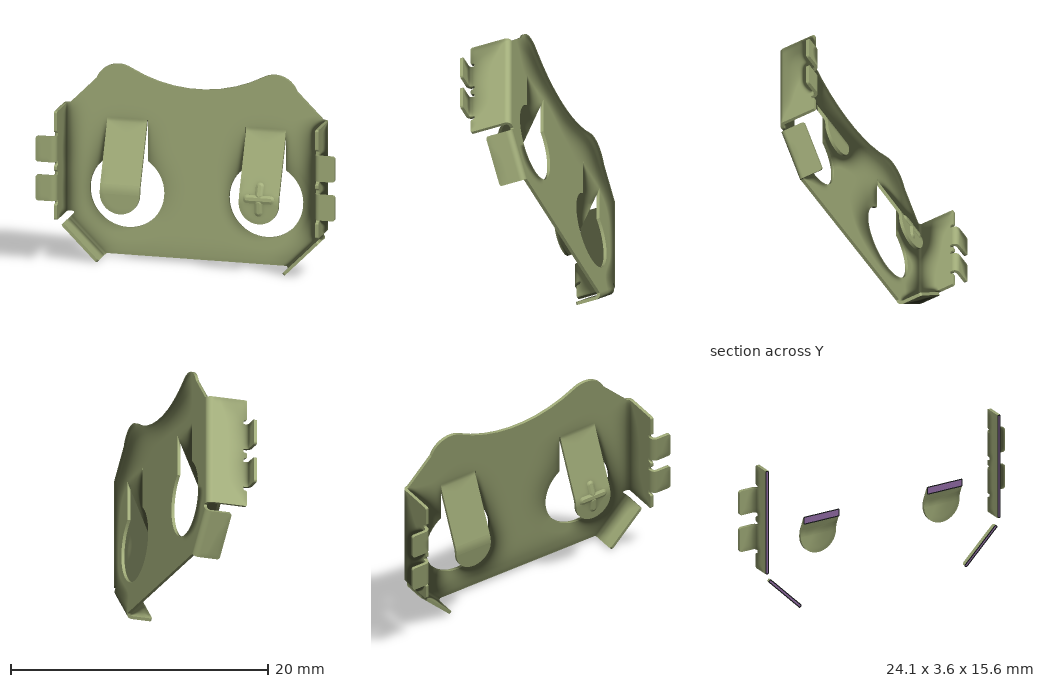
import cadquery as cq
import math


thickness = 0.25
bend_inner_radius = 0.2
bend_radius = bend_inner_radius + thickness

overall_width = 24.1
overall_depth = 3.6
plate_top = 15.26
root_overlap = 0.1

wall_half_width = 10.65
wall_bottom = 3.2
wall_top = 11.92
wall_depth = 3.29
wall_bend_x = wall_half_width - bend_radius
wall_corner_radius = 0.15

foot_width = 2.05
foot_centres = (5.8, 8.92)
foot_corner_radius = 0.2
relief_width = 0.3
relief_depth = 2.98
relief_radius = 0.14

stop_length = 4.0
stop_depth = 2.13
stop_corner_radius = 0.2
stop_start_x = 7.25
stop_angle = 45
stop_run = stop_length * math.cos(math.radians(stop_angle))
corner_relief_x = 9.87

lobe_x = 6.29
lobe_radius = 1.92
cutout_bottom = 13.64

tongue_x = 5.6
tongue_width = 3.2
tongue_top = 10.94
tongue_depth = 2.45
tongue_angle = math.radians(23.6)
tongue_root_radius = 0.6
tongue_knee_radius = 1.86
tongue_side_gap = 0.08
window_radius = 3.0
window_z = 5.15

plus_bar_width = 0.66
plus_length_x = 2.55
plus_length_z = 2.7
plus_height = 0.12
plus_slope_width = 0.2
plus_sink = 0.06

sin_a = math.sin(tongue_angle)
cos_a = math.cos(tongue_angle)
bend_radii = tongue_root_radius + tongue_knee_radius
slope_length = (tongue_depth - thickness - bend_radii * (1 - cos_a)) / sin_a
tip_z = tongue_top - bend_radii * sin_a - slope_length * cos_a
tip_radius = tongue_width / 2


def box(x_range, y_range, z_range):
    """Axis-aligned box from three (low, high) ranges."""
    (x0, x1), (y0, y1), (z0, z1) = x_range, y_range, z_range
    return cq.Workplane("XY").box(x1 - x0, y1 - y0, z1 - z0, centered=False).translate((x0, y0, z0))


def polar_point(centre, radius, angle):
    return (centre[0] + radius * math.cos(angle), centre[1] + radius * math.sin(angle))


def plate_half():
    """Flat plate on the -X side, before its window is cut."""
    lobe_z = plate_top - lobe_radius
    drop = lobe_z - cutout_bottom
    cutout_radius = (lobe_x**2 + drop**2 - lobe_radius**2) / (2 * (lobe_radius + drop))
    cutout_z = cutout_bottom + cutout_radius
    tangent_angle = math.atan2(cutout_z - lobe_z, lobe_x)
    tangent = polar_point((-lobe_x, lobe_z), lobe_radius, tangent_angle)
    cutout_middle_angle = (tangent_angle - math.pi - math.pi / 2) / 2
    cutout_middle = polar_point((0, cutout_z), cutout_radius, cutout_middle_angle)
    line_offset = wall_top + wall_bend_x - lobe_x - lobe_z
    shoulder_dx = -(line_offset + math.sqrt(2 * lobe_radius**2 - line_offset**2)) / 2
    shoulder = (-lobe_x + shoulder_dx, lobe_z + shoulder_dx + line_offset)

    stop_end = (-stop_start_x - stop_run, stop_run)
    relief_corner = (-corner_relief_x, stop_end[1] - corner_relief_x - stop_end[0])
    return (
        cq.Workplane("XZ")
        .moveTo(0, 0)
        .lineTo(-stop_start_x, 0)
        .lineTo(*stop_end)
        .lineTo(*relief_corner)
        .lineTo(-corner_relief_x, wall_bottom)
        .lineTo(-wall_bend_x, wall_bottom)
        .lineTo(-wall_bend_x, wall_top)
        .lineTo(*shoulder)
        .threePointArc((-lobe_x, plate_top), tangent)
        .threePointArc(cutout_middle, (0, cutout_bottom))
        .close()
        .extrude(thickness)
    )


def window():
    """Round hole plus the slot left by the -X tongue."""
    hole = (
        cq.Workplane("XZ")
        .center(-tongue_x, window_z)
        .circle(window_radius)
        .extrude(thickness)
    )
    left = -tongue_x - tongue_width / 2
    right = -tongue_x + tongue_width / 2 + tongue_side_gap
    slot = box((left, right), (-thickness, 0), (window_z, tongue_top))
    return hole.union(slot)


def bent_wall(length, depth):
    """Wall folded toward -Y along the Z axis, standing on the -X side of it."""
    outer_x = -bend_radius
    inner_x = outer_x + thickness
    middle = math.radians(135)
    bend_centre = (0, -bend_radius)
    return (
        cq.Workplane("XY")
        .moveTo(0, 0)
        .threePointArc(polar_point(bend_centre, bend_radius, middle), (outer_x, -bend_radius))
        .lineTo(outer_x, -depth)
        .lineTo(inner_x, -depth)
        .lineTo(inner_x, -bend_radius)
        .threePointArc(polar_point(bend_centre, bend_inner_radius, middle), (0, -thickness))
        .close()
        .extrude(length)
    )


def foot(centre_z):
    """Solder foot bent outward from the -X wall."""
    outer_x = -wall_half_width
    inner_x = outer_x + thickness
    tip_x = -overall_width / 2
    bend_centre = (outer_x - bend_inner_radius, -overall_depth + bend_radius)
    middle = math.radians(-45)
    profile = (
        cq.Workplane("XY")
        .moveTo(outer_x, -relief_depth)
        .lineTo(outer_x, bend_centre[1])
        .threePointArc(
            polar_point(bend_centre, bend_inner_radius, middle),
            (bend_centre[0], -overall_depth + thickness),
        )
        .lineTo(tip_x, -overall_depth + thickness)
        .lineTo(tip_x, -overall_depth)
        .lineTo(bend_centre[0], -overall_depth)
        .threePointArc(polar_point(bend_centre, bend_radius, middle), (inner_x, bend_centre[1]))
        .lineTo(inner_x, -relief_depth)
        .close()
    )
    body = profile.extrude(foot_width).edges("|Y and <X").fillet(foot_corner_radius)
    return body.translate((0, 0, centre_z - foot_width / 2))


def side_wall():
    """The -X wall with its relief notches and solder feet."""
    wall = bent_wall(wall_top - wall_bottom, wall_depth).translate((-wall_bend_x, 0, wall_bottom))
    wall_x = (-wall_half_width, -wall_half_width + thickness)
    half_opening = foot_width / 2 + relief_width
    for centre_z in foot_centres:
        opening = box(
            wall_x,
            (-overall_depth, -relief_depth),
            (centre_z - half_opening, centre_z + half_opening),
        )
        wall = wall.cut(opening.edges("|X and >Y").fillet(relief_radius))
    wall = wall.faces("<Y").edges("|X").fillet(wall_corner_radius)
    for centre_z in foot_centres:
        wall = wall.union(foot(centre_z))
    return wall


def corner_stop():
    """Stop folded along the lower -X corner."""
    stop = bent_wall(stop_length, stop_depth).faces("<Y").edges("|X").fillet(stop_corner_radius)
    return stop.rotate((0, 0, 0), (0, 1, 0), -stop_angle).translate((-stop_start_x, 0, 0))


def root_point(offset, angle):
    """(Y, Z) point on the root bend, offset forward of the tongue's back face."""
    centre_y = -thickness - tongue_root_radius
    radius = tongue_root_radius + thickness - offset
    return (centre_y + radius * math.cos(angle), tongue_top - radius * math.sin(angle))


def knee_point(offset, angle):
    """(Y, Z) point on the knee bend, offset forward of the tongue's back face."""
    centre_y = -tongue_depth + tongue_knee_radius
    radius = tongue_knee_radius - thickness + offset
    return (centre_y - radius * math.cos(angle), tip_z + radius * math.sin(angle))


def tongue_strip():
    """Bent tongue strip with a square end, centred on X = 0."""
    inner = 0
    outer = thickness
    half_angle = tongue_angle / 2
    tip_bottom = tip_z - tip_radius
    profile = (
        cq.Workplane("YZ")
        .moveTo(*root_point(outer, 0))
        .threePointArc(root_point(outer, half_angle), root_point(outer, tongue_angle))
        .lineTo(*knee_point(outer, tongue_angle))
        .threePointArc(knee_point(outer, half_angle), knee_point(outer, 0))
        .lineTo(knee_point(outer, 0)[0], tip_bottom)
        .lineTo(knee_point(inner, 0)[0], tip_bottom)
        .lineTo(*knee_point(inner, 0))
        .threePointArc(knee_point(inner, half_angle), knee_point(inner, tongue_angle))
        .lineTo(*root_point(inner, tongue_angle))
        .threePointArc(root_point(inner, half_angle), root_point(inner, 0))
        .close()
    )
    return profile.extrude(tongue_width / 2, both=True)


def tongue():
    """Spring tongue with a round tip, centred on X = 0."""
    tip = cq.Workplane("XZ").center(0, tip_z).circle(tip_radius).extrude(overall_depth)
    above_tip = box((-tip_radius, tip_radius), (-overall_depth, 0), (tip_z, tongue_top))
    strip = tongue_strip().intersect(above_tip.union(tip))
    root = box((-tip_radius, tip_radius), (-thickness, 0), (tongue_top, tongue_top + root_overlap))
    return strip.union(root)


def plus_bar(length_x, length_z, middle, tilt):
    """Raised round-ended bar with sloping sides, lying on the tongue face.

    middle is the (Y, Z) centre of the bar and tilt the lean of the face below it.
    """
    length = max(length_x, length_z)
    width = min(length_x, length_z)
    turn = 90 if length_z > length_x else 0
    face = cq.Plane(
        origin=(0, *middle),
        xDir=(1, 0, 0),
        normal=(0, -math.cos(tilt), math.sin(tilt)),
    )
    slope = math.degrees(math.atan2(plus_slope_width, plus_height))
    raised = cq.Workplane(face).slot2D(length, width, turn).extrude(plus_height, taper=slope)
    buried = cq.Workplane(face).slot2D(length, width, turn).extrude(-plus_sink)
    return raised.union(buried)


def plus_sign():
    """Plus sign centred on the tongue knee: one bar across and one arm on each side."""
    half_angle = tongue_angle / 2
    centre = knee_point(thickness, half_angle)
    arm_length = plus_length_z / 2
    lower_middle = (-tongue_depth, centre[1] - arm_length / 2)
    slope_start = knee_point(thickness, tongue_angle)
    along = arm_length / 2 - tongue_knee_radius * math.sin(half_angle)
    upper_middle = (slope_start[0] + along * sin_a, slope_start[1] + along * cos_a)
    across = plus_bar(plus_length_x, plus_bar_width, centre, half_angle)
    lower = plus_bar(plus_bar_width, arm_length, lower_middle, 0)
    upper = plus_bar(plus_bar_width, arm_length, upper_middle, tongue_angle)
    return across.union(lower).union(upper)


left_half = plate_half().cut(window()).union(side_wall()).union(corner_stop())
body = left_half.union(left_half.mirror("YZ"))
for side in (-1, 1):
    body = body.union(tongue().translate((side * tongue_x, 0, 0)))
result = body.union(plus_sign().translate((tongue_x, 0, 0)))